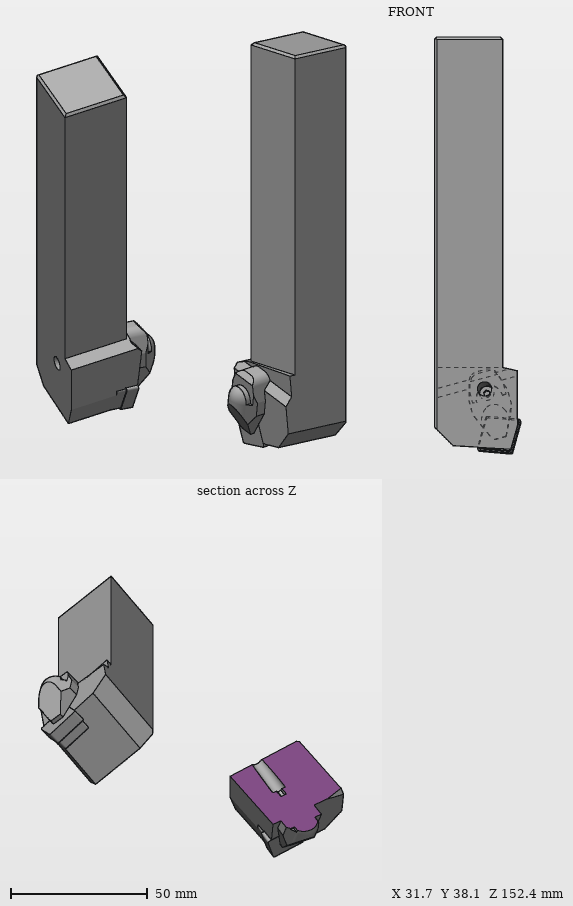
import cadquery as cq
import math

SHANK_SIDE = 25.0
TOTAL_LENGTH = 152.4
EDGE_CHAMFER = 0.9

HEAD_WIDTH = 30.3
HEAD_TOP = 31.7
HEAD_TOP_DROP = 1.2
HEAD_BACK_CHAMFER = 6.9
HEAD_BACK_BOTTOM = 3.0
HEAD_NOSE = (27.9, 1.8)
HEAD_SIDE_BOTTOM = 10.5
HEAD_DEPTH = 36.5

SEAT_LEVEL = 27.1
SLOPE_X = -math.tan(math.radians(3.0))
SLOPE_Z = math.tan(math.radians(6.0))
SEAT_NORMAL = (-SLOPE_X, 1.0, -SLOPE_Z)

SCREW_X = 19.8
SCREW_Z = 20.9
CLAMP_ANGLE = 15.0
CLAMP_REAR = -9.8
CLAMP_NOSE = 15.5
CLAMP_WIDTH = 14.6
REAR_WIDTH = 9.1
CLAMP_REAR_RADIUS = 3.8
NOSE_WIDTH = 4.9
WIDEST_START = -0.9
WIDEST_END = 4.5
REAR_HEIGHT = 5.0
REAR_BEVEL = 2.0
SIDE_HEIGHT = 3.7
NOSE_HEIGHT = 1.5
DOME_HEIGHT = 9.9
DOME_BASE = 7.0
DOME_RADIUS = 4.9
DOME_FRONT = 1.8
FLOOR_DEPTH = 3.0
RAMP_CREST = -4.7
RAMP_FOOT = -7.6
CUT_REACH = 61.0

INSERT_TIP = (28.5, -0.05)
INSERT_EDGE = 12.8
SIDE_EDGE_ANGLE = 75.0
END_EDGE_ANGLE = 175.0
CORNER_RADIUS = 0.8
INSERT_THICKNESS = 4.7
SHIM_THICKNESS = 3.7
SHIM_INSET = 0.5

HOLE_DIAMETER = 5.2
HOLE_END = 13.0
SOCKET_DIAMETER = 2.5
SOCKET_DEPTH = 3.0
HOLE_LENGTH = 22.9


def seat_point(x, z):
    """Point of the seat plane above the given X and Z."""
    return (x, SEAT_LEVEL + SLOPE_X * x + SLOPE_Z * z, z)


def seat_plane(x, z, x_dir):
    return cq.Plane(origin=seat_point(x, z), xDir=x_dir, normal=SEAT_NORMAL)


turn = math.radians(CLAMP_ANGLE)
nose_x = math.sin(turn)
nose_z = -math.cos(turn)
clamp_plane = seat_plane(
    SCREW_X, SCREW_Z, (nose_x, SLOPE_X * nose_x + SLOPE_Z * nose_z, nose_z)
)
clamp_side_plane = cq.Plane(
    origin=clamp_plane.origin, xDir=clamp_plane.xDir, normal=clamp_plane.yDir * -1
)
clamp_cross_plane = cq.Plane(
    origin=clamp_plane.origin, xDir=clamp_plane.yDir, normal=clamp_plane.xDir
)
insert_plane = seat_plane(*INSERT_TIP, (1.0, SLOPE_X, 0.0))


def make_shank():
    """Bar standing on the head, with a chamfered top."""
    bar = cq.Workplane("XY").workplane(offset=HEAD_TOP)
    bar = bar.box(SHANK_SIDE, SHANK_SIDE, TOTAL_LENGTH - HEAD_TOP, centered=False)
    return bar.faces(">Z").chamfer(EDGE_CHAMFER)


def make_head():
    outline = [
        (0, HEAD_TOP),
        (SHANK_SIDE, HEAD_TOP),
        (HEAD_WIDTH, HEAD_TOP - HEAD_TOP_DROP),
        (HEAD_WIDTH, HEAD_SIDE_BOTTOM),
        HEAD_NOSE,
        (HEAD_BACK_CHAMFER, HEAD_BACK_BOTTOM),
        (0, HEAD_BACK_BOTTOM + HEAD_BACK_CHAMFER),
    ]
    return cq.Workplane("XZ").polyline(outline).close().extrude(-HEAD_DEPTH)


def make_seat_cutter():
    """Space above the seat, the ramp and the clamp floor."""
    profile = [
        (-CUT_REACH, -FLOOR_DEPTH),
        (RAMP_FOOT, -FLOOR_DEPTH),
        (RAMP_CREST, 0),
        (CUT_REACH, 0),
        (CUT_REACH, CUT_REACH),
        (-CUT_REACH, CUT_REACH),
    ]
    return cq.Workplane(clamp_side_plane).polyline(profile).close().extrude(CUT_REACH, both=True)


def make_screw_head():
    """Round screw head with a spherical top, sunk in the clamp."""
    cap_height = DOME_HEIGHT - DOME_BASE
    sphere_radius = (DOME_RADIUS ** 2 + cap_height ** 2) / (2 * cap_height)
    cylinder = cq.Workplane(clamp_plane).circle(DOME_RADIUS).extrude(DOME_HEIGHT)
    ball = cq.Workplane(clamp_plane).workplane(offset=DOME_HEIGHT - sphere_radius).sphere(sphere_radius)
    front_cut = (
        cq.Workplane(clamp_side_plane)
        .moveTo(DOME_FRONT, DOME_HEIGHT)
        .lineTo(CLAMP_NOSE, DOME_HEIGHT)
        .lineTo(CLAMP_NOSE, NOSE_HEIGHT)
        .close()
        .extrude(CLAMP_WIDTH, both=True)
    )
    return cylinder.intersect(ball).cut(front_cut)


def make_clamp():
    """Clamp, shared by a plan, a side profile and a cross-section, with the screw head on it."""
    half = CLAMP_WIDTH / 2
    plan = (
        cq.Workplane(clamp_plane)
        .workplane(offset=-FLOOR_DEPTH)
        .polyline([
            (CLAMP_REAR, -REAR_WIDTH / 2),
            (WIDEST_START, -half),
            (WIDEST_END, -half),
            (CLAMP_NOSE, -NOSE_WIDTH / 2),
            (CLAMP_NOSE, NOSE_WIDTH / 2),
            (WIDEST_END, half),
            (WIDEST_START, half),
            (CLAMP_REAR, REAR_WIDTH / 2),
        ])
        .close()
        .extrude(FLOOR_DEPTH + DOME_HEIGHT)
    )
    for side in (-REAR_WIDTH / 2, REAR_WIDTH / 2):
        corner = clamp_plane.toWorldCoords((CLAMP_REAR, side, (DOME_HEIGHT - FLOOR_DEPTH) / 2))
        rear_edge = cq.selectors.NearestToPointSelector(corner.toTuple())
        plan = plan.edges(rear_edge).fillet(CLAMP_REAR_RADIUS)

    profile = (
        cq.Workplane(clamp_side_plane)
        .moveTo(CLAMP_REAR, -FLOOR_DEPTH)
        .lineTo(CLAMP_REAR, REAR_HEIGHT - REAR_BEVEL)
        .lineTo(CLAMP_REAR + REAR_BEVEL, REAR_HEIGHT)
        .lineTo(0, REAR_HEIGHT)
        .lineTo(0, DOME_HEIGHT)
        .lineTo(DOME_FRONT, DOME_HEIGHT)
        .lineTo(CLAMP_NOSE, NOSE_HEIGHT)
        .lineTo(CLAMP_NOSE, 0)
        .lineTo(RAMP_CREST, 0)
        .lineTo(RAMP_FOOT, -FLOOR_DEPTH)
        .close()
        .extrude(half, both=True)
    )
    section = (
        cq.Workplane(clamp_cross_plane)
        .moveTo(-half, -FLOOR_DEPTH)
        .lineTo(-half, SIDE_HEIGHT)
        .lineTo(-DOME_RADIUS, DOME_BASE)
        .threePointArc((0, DOME_HEIGHT), (DOME_RADIUS, DOME_BASE))
        .lineTo(half, SIDE_HEIGHT)
        .lineTo(half, -FLOOR_DEPTH)
        .close()
        .extrude(CUT_REACH, both=True)
    )
    return plan.intersect(profile).intersect(section).union(make_screw_head())


def rhombus(thickness, inset, depth):
    """Rounded rhombic plate whose upper face lies the given depth below the seat."""
    def step(angle):
        a = math.radians(angle)
        return (INSERT_EDGE * math.cos(a), -INSERT_EDGE * math.sin(a))

    side = step(SIDE_EDGE_ANGLE)
    end = step(END_EDGE_ANGLE)
    far = (side[0] + end[0], side[1] + end[1])
    return (
        cq.Workplane(insert_plane)
        .workplane(offset=-depth - thickness)
        .polyline([(0, 0), side, far, end])
        .close()
        .offset2D(-inset - CORNER_RADIUS)
        .offset2D(CORNER_RADIUS)
        .extrude(thickness)
    )


def make_screw_hole():
    """Access hole from the front of the head, with the key socket of the screw at its end."""
    hole = (
        cq.Workplane(clamp_plane)
        .workplane(offset=-HOLE_END - HOLE_LENGTH)
        .circle(HOLE_DIAMETER / 2)
        .extrude(HOLE_LENGTH)
    )
    socket = (
        cq.Workplane(clamp_plane)
        .workplane(offset=-HOLE_END)
        .polygon(6, SOCKET_DIAMETER)
        .extrude(SOCKET_DEPTH)
    )
    return hole.union(socket)


def make_holder():
    """Shank, head, shim, clamp and screw as one solid, without the room for the insert."""
    body = make_head().cut(make_seat_cutter()).union(make_shank())
    long_edge = cq.selectors.NearestToPointSelector((0, 0, TOTAL_LENGTH / 2))
    body = body.edges(long_edge).chamfer(EDGE_CHAMFER)
    shim = rhombus(SHIM_THICKNESS, SHIM_INSET, INSERT_THICKNESS)
    return body.union(shim).union(make_clamp()).cut(make_screw_hole())


insert = rhombus(INSERT_THICKNESS, 0, 0)
holder = make_holder().cut(insert)

result = cq.Compound.makeCompound([holder.val(), insert.val()])